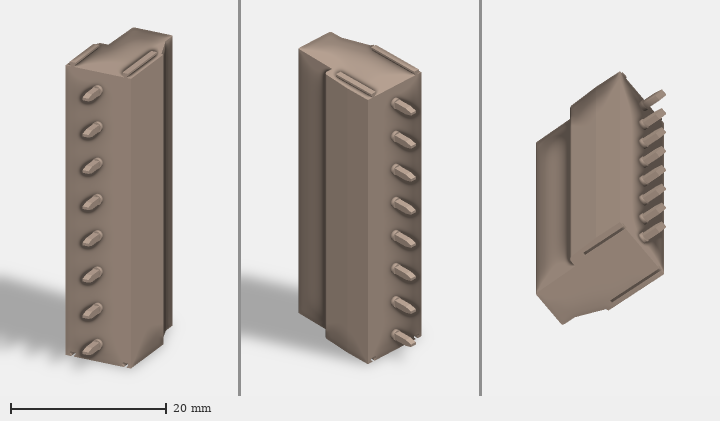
import cadquery as cq

total_length = 41.2
rail_height = 0.6
body_length = total_length - rail_height
body_width = 9.5
body_height = 15.0
half_width = body_width / 2

draft_start = 3.85
draft_inset = 0.35
ledge_height = 8.5
ledge_radius = 0.58
tower_left_base = -3.0
tower_left_top = -2.85
tower_right = 2.95
slope_top = 13.0
slope_bottom = 9.05
slope_foot = 4.4
foot_edge_height = 8.95
tower_radius = 0.25

rail_places = [(-3.75, 6.6), (3.9, 8.0)]
rail_width = 0.82
rail_neck = 0.4
rail_head = 0.3
rail_neck_height = 0.1

pin_count = 8
pin_row_length = 35.55
pin_pitch = pin_row_length / (pin_count - 1)
pin_width = 0.85
pin_thickness = 0.9
pin_length = 3.5
pin_tip_length = 1.0
pin_tip_thickness = 0.37
collar_diameter = 1.4
collar_length = 0.5


def make_body():
    """Housing section extruded along Z, with rounded tower and ledge edges."""
    outline = [
        (-half_width, 0),
        (half_width, 0),
        (half_width, foot_edge_height),
        (slope_foot, slope_bottom),
        (tower_right, slope_top),
        (tower_right, body_height),
        (tower_left_top, body_height),
        (tower_left_base, ledge_height),
        (-half_width + draft_inset, ledge_height),
        (-half_width, draft_start),
    ]
    body = cq.Workplane("XY").polyline(outline).close().extrude(body_length)
    body = body.faces(">Y").edges("|Z").fillet(tower_radius)
    ledge_edge = cq.selectors.NearestToPointSelector(
        (-half_width + draft_inset, ledge_height, body_length / 2)
    )
    return body.edges(ledge_edge).fillet(ledge_radius)


def make_rail(center_x, length):
    """Mushroom-shaped rail standing on Z = 0 and running along +Y."""
    half_neck = rail_neck / 2
    half_head = rail_width / 2
    head_base = rail_height - rail_head
    section = [
        (-half_neck, 0),
        (half_neck, 0),
        (half_neck, rail_neck_height),
        (half_head, head_base),
        (half_head, rail_height),
        (-half_head, rail_height),
        (-half_head, head_base),
        (-half_neck, rail_neck_height),
    ]
    rail = cq.Workplane("XZ").polyline(section).close().extrude(-length)
    return rail.translate((center_x, 0, 0))


def make_pin():
    """Round collar and rectangular pin along -Y, flattened toward the tip in Z."""
    collar = cq.Workplane("XZ").circle(collar_diameter / 2).extrude(collar_length)
    half_thickness = pin_thickness / 2
    half_tip = pin_tip_thickness / 2
    shoulder = -pin_length + pin_tip_length
    side = [
        (0, -half_thickness),
        (shoulder, -half_thickness),
        (-pin_length, -half_tip),
        (-pin_length, half_tip),
        (shoulder, half_thickness),
        (0, half_thickness),
    ]
    blade = cq.Workplane("YZ").polyline(side).close().extrude(pin_width / 2, both=True)
    return collar.union(blade)


result = make_body()

for rail_x, rail_length in rail_places:
    rail = make_rail(rail_x, rail_length)
    result = result.cut(rail)
    result = result.union(rail.translate((0, 0, body_length)))

pin = make_pin()
first_pin_z = (body_length - pin_row_length) / 2
for index in range(pin_count):
    result = result.union(pin.translate((0, 0, first_pin_z + index * pin_pitch)))